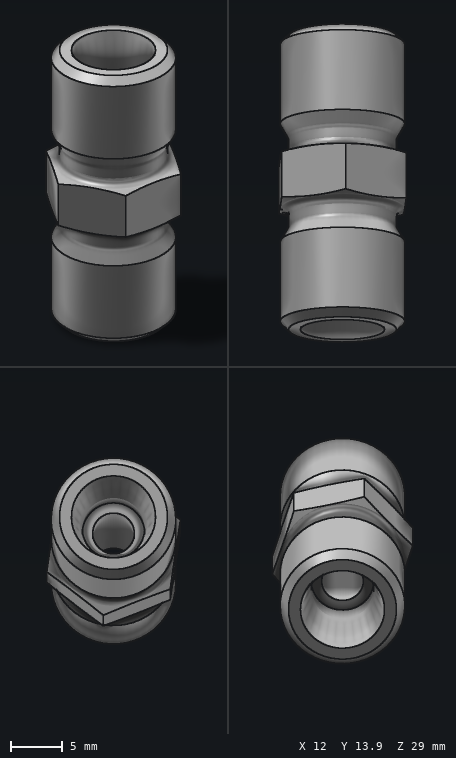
import cadquery as cq
import math

length = 29.0
thread_radius = 12.0 / 2
hex_across_flats = 12.0
hex_height = 5.0
hex_chamfer_angle = math.radians(15)

end_chamfer_width = 0.8
end_chamfer_height = 0.78
relief_radius = 10.4 / 2
thread_start = 5.83
runout_angle = math.radians(30)
runout_blend_radius = 0.8

through_diameter = 4.0
socket_radius = 6.0 / 2
mouth_radius = 8.1 / 2
cone_half_angle = math.radians(12)
socket_depth = 7.0

half_length = length / 2
half_hex = hex_height / 2


def threaded_end():
    """Solid upper end, from mid-length to the end face."""
    shoulder_fillet = thread_radius - relief_radius
    blend_rise = runout_blend_radius * math.sin(runout_angle)
    blend_radius_out = relief_radius + runout_blend_radius * (1 - math.cos(runout_angle))
    cone_start = thread_start - (thread_radius - blend_radius_out) / math.tan(runout_angle)

    diagonal = shoulder_fillet * math.sqrt(0.5)
    shoulder_mid = (thread_radius - diagonal, half_hex + shoulder_fillet - diagonal)
    half_turn = runout_angle / 2
    blend_mid = (
        relief_radius + runout_blend_radius * (1 - math.cos(half_turn)),
        cone_start - blend_rise + runout_blend_radius * math.sin(half_turn),
    )

    return (
        cq.Workplane("XZ")
        .lineTo(thread_radius, 0)
        .lineTo(thread_radius, half_hex)
        .threePointArc(shoulder_mid, (relief_radius, half_hex + shoulder_fillet))
        .lineTo(relief_radius, cone_start - blend_rise)
        .threePointArc(blend_mid, (blend_radius_out, cone_start))
        .lineTo(thread_radius, thread_start)
        .lineTo(thread_radius, half_length - end_chamfer_height)
        .lineTo(thread_radius - end_chamfer_width, half_length)
        .lineTo(0, half_length)
        .close()
        .revolve(360, (0, 0, 0), (0, 1, 0))
    )


def hexagon():
    """Central hexagon with corners along Y, its corners chamfered by cones."""
    corner_radius = hex_across_flats / math.sqrt(3)
    chamfer_drop = (corner_radius - thread_radius) * math.tan(hex_chamfer_angle)
    prism = (
        cq.Workplane("XY")
        .polygon(6, 2 * corner_radius)
        .extrude(half_hex, both=True)
        .rotate((0, 0, 0), (0, 0, 1), 30)
    )
    envelope = (
        cq.Workplane("XZ")
        .moveTo(0, -half_hex)
        .lineTo(thread_radius, -half_hex)
        .lineTo(corner_radius, chamfer_drop - half_hex)
        .lineTo(corner_radius, half_hex - chamfer_drop)
        .lineTo(thread_radius, half_hex)
        .lineTo(0, half_hex)
        .close()
        .revolve(360, (0, 0, 0), (0, 1, 0))
    )
    return prism.intersect(envelope)


def tube_socket():
    """Cutter for the sealing cone and the tube socket in the upper end."""
    cone_depth = (mouth_radius - socket_radius) / math.tan(cone_half_angle)
    return (
        cq.Workplane("XZ")
        .moveTo(0, half_length)
        .lineTo(mouth_radius, half_length)
        .lineTo(socket_radius, half_length - cone_depth)
        .lineTo(socket_radius, half_length - socket_depth)
        .lineTo(0, half_length - socket_depth)
        .close()
        .revolve(360, (0, 0, 0), (0, 1, 0))
    )


def on_both_ends(upper):
    """The upper shape joined with its mirror image at the lower end."""
    return upper.union(upper.mirror("XY"))


through_hole = cq.Workplane("XY").circle(through_diameter / 2).extrude(half_length, both=True)

result = (
    on_both_ends(threaded_end())
    .union(hexagon())
    .cut(on_both_ends(tube_socket()))
    .cut(through_hole)
)